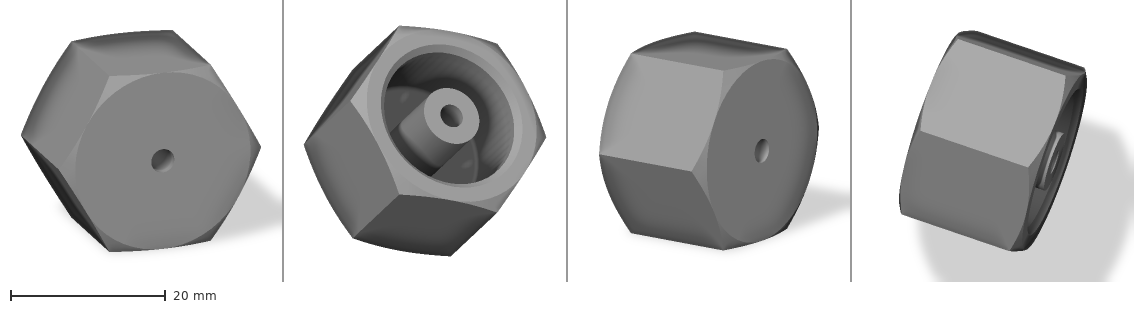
import cadquery as cq
import math

across_corners = 27.7
across_flats = across_corners * math.cos(math.radians(30))
length = 17.0
corner_chamfer_angle = 30.0

mouth_radius = 10.0
bore_radius = 9.2
mouth_chamfer_depth = mouth_radius - bore_radius
floor_fillet = 0.5
floor_depth = 12.5

post_radius = 3.9
hole_radius = 1.58


def cylinder(radius, start, end):
    """Solid cylinder about the X axis between two X positions."""
    return cq.Workplane("YZ", origin=(start, 0, 0)).circle(radius).extrude(end - start)


def chamfer_envelope():
    """Round body with conical ends that trims the hexagon corners."""
    corner_radius = across_corners / 2
    flat_radius = across_flats / 2
    chamfer_length = (corner_radius - flat_radius) * math.tan(math.radians(corner_chamfer_angle))
    return (
        cq.Workplane("XY")
        .moveTo(0, 0)
        .lineTo(0, flat_radius)
        .lineTo(chamfer_length, corner_radius)
        .lineTo(length - chamfer_length, corner_radius)
        .lineTo(length, flat_radius)
        .lineTo(length, 0)
        .close()
        .revolve(360, (0, 0, 0), (1, 0, 0))
    )


def socket():
    """Bore with a conical mouth and a rounded floor edge."""
    bore = cylinder(bore_radius, 0, floor_depth).faces(">X").edges().fillet(floor_fillet)
    mouth = (
        cq.Workplane("XY")
        .moveTo(0, 0)
        .lineTo(0, mouth_radius)
        .lineTo(mouth_chamfer_depth, bore_radius)
        .lineTo(mouth_chamfer_depth, 0)
        .close()
        .revolve(360, (0, 0, 0), (1, 0, 0))
    )
    return bore.union(mouth)


hexagon = cq.Workplane("YZ").polygon(6, across_corners).extrude(length)
body = hexagon.intersect(chamfer_envelope()).cut(socket())
post = cylinder(post_radius, 0, floor_depth)
through_hole = cylinder(hole_radius, 0, length)

result = body.union(post).cut(through_hole)